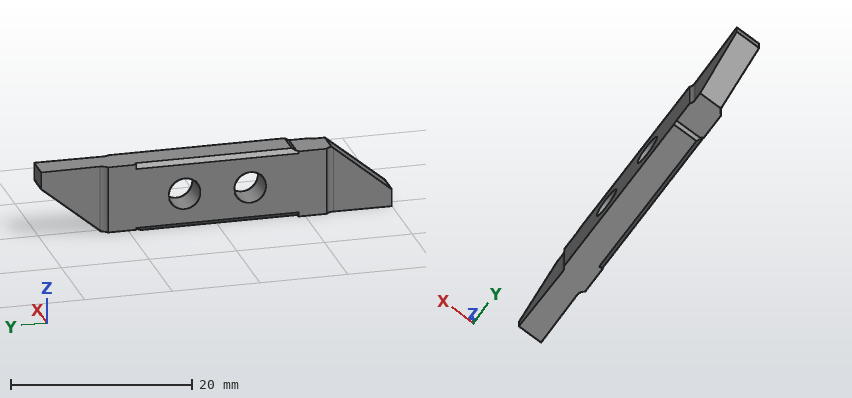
import cadquery as cq
import math

length = 40.0
thickness = 3.6
height = 8.0

tip_height = 2.0
slope_start = 13.1
step_depth = 0.3
ramp_start = 8.6
ramp_end = 9.1

radius = 0.95
left_body_end = 12.5
left_neck_cut = 0.5
left_tip_cut = 0.4
right_body_end = 11.5
right_neck_cut = 0.25
right_tip_cut = 0.1

bevel_length = 18.5
bevel_height = 0.5
bevel_width = 0.5

hole_diameter = 3.6
hole_spacing = 7.5

half_length = length / 2
half_thickness = thickness / 2
half_height = height / 2


def side_profile():
    """Blade outline in YZ, unchanged by a half turn about X."""
    upper_edge = [
        (half_length, half_height),
        (-ramp_start, half_height),
        (-ramp_end, half_height - step_depth),
        (-slope_start, half_height - step_depth),
        (-half_length, tip_height - half_height),
    ]
    lower_edge = [(-y, -z) for y, z in upper_edge]
    return cq.Workplane("YZ").polyline(upper_edge + lower_edge).close().extrude(half_thickness, both=True)


def thinning_cut(side, end, body_end, neck_cut, tip_cut):
    """Cutter for one side (-1 or 1 in X) of one end (-1 or 1 in Y)."""
    def point(cut, y):
        return side * (half_thickness - cut), end * y

    def runout_point(angle):
        rise = radius * (1 - math.cos(angle))
        return point(neck_cut - rise, neck_start - radius * math.sin(angle))

    runout_angle = math.acos(1 - neck_cut / radius)
    neck_start = body_end + radius * math.sin(runout_angle)
    return (
        cq.Workplane("XY", origin=(0, 0, -half_height))
        .moveTo(*point(0, body_end))
        .threePointArc(runout_point(runout_angle / 2), point(neck_cut, neck_start))
        .lineTo(*point(tip_cut, half_length))
        .lineTo(*point(0, half_length))
        .close()
        .extrude(height)
    )


def edge_bevel(edge):
    """Wedge removed from the upper (1) or lower (-1) edge of the -X face."""
    corners = [
        (-half_thickness, edge * half_height),
        (-half_thickness + bevel_width, edge * half_height),
        (-half_thickness, edge * (half_height - bevel_height)),
    ]
    return cq.Workplane("XZ").polyline(corners).close().extrude(bevel_length / 2, both=True)


def cross_holes():
    return (
        cq.Workplane("YZ")
        .pushPoints([(-hole_spacing / 2, 0), (hole_spacing / 2, 0)])
        .circle(hole_diameter / 2)
        .extrude(half_thickness, both=True)
    )


result = side_profile().cut(cross_holes())
for direction in (-1, 1):
    result = result.cut(thinning_cut(-1, direction, left_body_end, left_neck_cut, left_tip_cut))
    result = result.cut(thinning_cut(1, direction, right_body_end, right_neck_cut, right_tip_cut))
    result = result.cut(edge_bevel(direction))